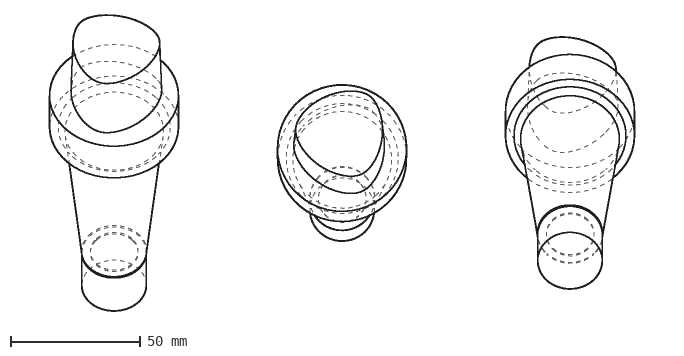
import cadquery as cq
import math

total_height = 150.0
groove_bottom = 20.8
groove_top = 21.8
flange_height = 20.0
taper_height = 30.0
chamfer_height = 2.5
flange_top = total_height - taper_height
flange_bottom = flange_top - flange_height
neck_top = flange_bottom - chamfer_height

shank_diameter = 25.0
groove_diameter = 18.5
neck_bottom_diameter = 25.2
neck_top_diameter = 38.2
chamfer_diameter = neck_top_diameter + 2 * chamfer_height
flange_diameter = 50.0

coupling_base_diameter = 35.1
taper_ratio = 1 / 20
coupling_tip_diameter = coupling_base_diameter - taper_ratio * taper_height
lobe_offset = 1.2
curve_points = 72


def turned_body():
    """Revolve the shank, groove, conical neck and flange about Z."""
    steps = [
        (shank_diameter, 0),
        (shank_diameter, groove_bottom),
        (groove_diameter, groove_bottom),
        (groove_diameter, groove_top),
        (neck_bottom_diameter, groove_top),
        (neck_top_diameter, neck_top),
        (chamfer_diameter, flange_bottom),
        (flange_diameter, flange_bottom),
        (flange_diameter, flange_top),
    ]
    profile = [(diameter / 2, z) for diameter, z in steps]
    outline = [(0, 0)] + profile + [(0, flange_top)]
    return cq.Workplane("XZ").polyline(outline).close().revolve(360, (0, 0), (0, 1))


def lobed_point(diameter, angle):
    """Point on a three-lobed curve of constant width."""
    toward_flat = (
        diameter / 2 * math.cos(angle)
        - 2 * lobe_offset * math.cos(2 * angle)
        + lobe_offset * math.cos(4 * angle)
    )
    sideways = (
        diameter / 2 * math.sin(angle)
        + 2 * lobe_offset * math.sin(2 * angle)
        + lobe_offset * math.sin(4 * angle)
    )
    return (-sideways, toward_flat)


def lobed_outline(diameter):
    angles = [2 * math.pi * i / curve_points for i in range(curve_points)]
    return [lobed_point(diameter, angle) for angle in angles]


def coupling():
    """Loft the polygon taper from the flange face to the tip."""
    return (
        cq.Workplane("XY", origin=(0, 0, flange_top))
        .spline(lobed_outline(coupling_base_diameter), periodic=True)
        .close()
        .workplane(offset=taper_height)
        .spline(lobed_outline(coupling_tip_diameter), periodic=True)
        .close()
        .loft(ruled=True)
    )


result = turned_body().union(coupling())